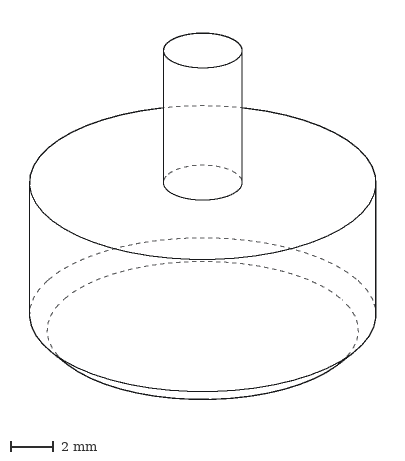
import cadquery as cq

total_height = 16.9
body_diameter = 16.3
stem_diameter = 3.7
stem_length = 6.93
tip_height = 2.21
chamfer_size = 0.83

body_radius = body_diameter / 2
stem_radius = stem_diameter / 2
cone_radius = body_radius - chamfer_size
wall_bottom = tip_height + chamfer_size
body_top = total_height - stem_length

profile = (
    cq.Workplane("XZ")
    .moveTo(0, 0)
    .lineTo(cone_radius, tip_height)
    .lineTo(body_radius, wall_bottom)
    .lineTo(body_radius, body_top)
    .lineTo(stem_radius, body_top)
    .lineTo(stem_radius, total_height)
    .lineTo(0, total_height)
    .close()
)

result = profile.revolve(360, (0, 0, 0), (0, 1, 0))